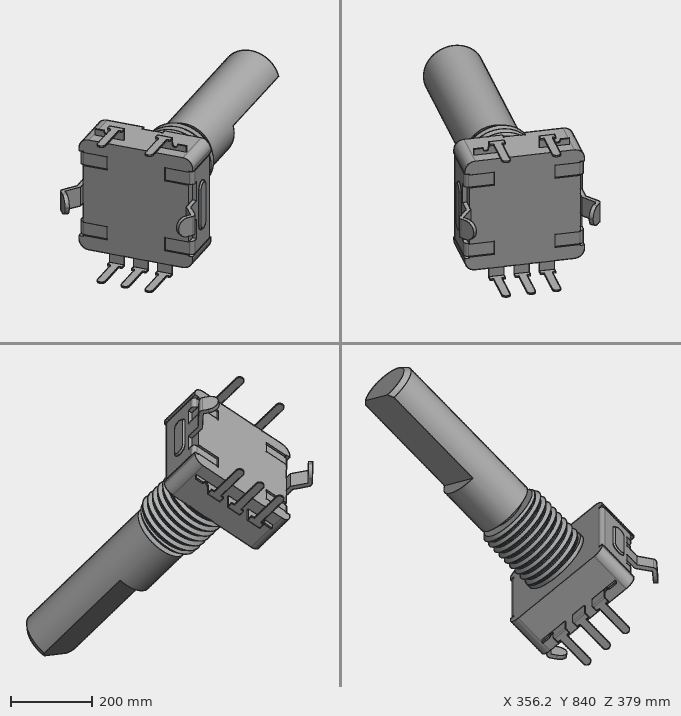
import cadquery as cq
import math


housing_side = 302.0
housing_depth = 118.0
corner_radius = 26.0
half_side = housing_side / 2
cover_thickness = 11.0
cover_half_width = 114.0
cover_gap = 2.5
cover_bend_radius = 10.0
cover_back_y = -91.5
tab_inner_z = 78.0
tab_reach = 75.0
tab_recess = 5.0
top_notch_width = 55.0
top_notch_size = 11.0

bead_y = -60.0
bead_length = 134.0
bead_width = 39.5
bead_height = 5.0
bead_bevel = 4.0

leg_half_width = 26.0
leg_elbow_x = 181.0
leg_bend_y = -129.0
leg_drop = 39.0
leg_elbow_radius = 11.0
leg_tip_radius = 25.0

pin_pitch = 64.0
pin_thickness = 4.0
pin_bend_radius = 3.0
pin_width = 21.0
pin_end_y = -194.0
pin_tip_radius = 10.0
shoulder_width = 39.0
shoulder_end_y = -99.0
leaf_y = -82.0
leaf_half_span = 121.0
leaf_notch_x = 91.0
leaf_notch_depth = 8.0
leaf_notch_width = 13.5
leaf_notch_radius = 6.0
upper_pin_z = 183.0
upper_leaf_z = 167.0
lower_pin_z = 196.0
lower_leaf_z = 165.0

thread_radius = 90.0
root_radius = 81.0
thread_pitch = 19.0
ridge_width = 18.5
crest_width = 1.0
ridge_burial = 2.0
buried_radius = root_radius - ridge_burial
thread_start = 2.0
thread_turn = -125
collar_length = 11.0
bushing_length = 177.0
bushing_end_radius = 79.0
envelope_radius = 97.0

shaft_radius = 76.5
shaft_start = 191.5
shaft_end = 633.0
shaft_chamfer = 13.0
neck_radius = 44.5
flat_length = 304.0
flat_distance = shaft_radius / 2
flat_turn = 45


def block(x_range, y_range, z_range):
    """Axis-aligned box between the given limits."""
    size = [high - low for low, high in (x_range, y_range, z_range)]
    corner = (x_range[0], y_range[0], z_range[0])
    return cq.Workplane("XY").box(*size, centered=False).translate(corner)


def cylinder(radius, start, end):
    """Round bar on the Y axis."""
    bar = cq.Solid.makeCylinder(radius, end - start, cq.Vector(0, start, 0), cq.Vector(0, 1, 0))
    return cq.Workplane(obj=bar)


def housing():
    """Rounded square block with slots for the cover sides, tabs and front plate."""
    body = block((-half_side, half_side), (-housing_depth, 0), (-half_side, half_side))
    body = body.edges("|Y").fillet(corner_radius)
    slot_half = cover_half_width + cover_gap
    slot = block((half_side - cover_thickness, half_side), (-housing_depth, 0), (-slot_half, slot_half))
    tab_pocket = block(
        (half_side - tab_reach, half_side),
        (-housing_depth, -housing_depth + tab_recess),
        (tab_inner_z, cover_half_width),
    )
    cuts = slot.union(tab_pocket).union(tab_pocket.mirror("XY"))
    notch = block(
        (-top_notch_width / 2, top_notch_width / 2),
        (-top_notch_size, 0),
        (half_side - top_notch_size, half_side),
    )
    return body.cut(cuts).cut(cuts.mirror("YZ")).cut(notch)


def cover_side():
    """Cover wall on the +X side with its two bent tabs and the embossed bead."""
    x_range = (half_side - cover_thickness, half_side)
    wall = block(x_range, (cover_back_y, 0), (-cover_half_width, cover_half_width))
    wall = wall.edges(">X and >Y").fillet(cover_bend_radius)
    tab = block(x_range, (-housing_depth + tab_recess, cover_back_y), (tab_inner_z, cover_half_width))
    tab = tab.edges(">X and <Y").fillet(cover_bend_radius)
    bead = (
        cq.Workplane("YZ", origin=(half_side, 0, 0))
        .center(bead_y, 0)
        .slot2D(bead_length, bead_width, 90)
        .extrude(bead_height)
        .faces(">X")
        .chamfer(bead_bevel)
    )
    return wall.union(tab).union(tab.mirror("XY")).union(bead)


def mounting_leg():
    """Strip that leaves the +X cover side, kinks outward, folds back in and ends round."""
    lean = math.atan2(leg_elbow_x - half_side, leg_drop)
    elbow_y = leg_bend_y - leg_drop
    tip_y = elbow_y - leg_drop
    inner_x = half_side - cover_thickness
    outline = [
        (half_side, cover_back_y),
        (half_side, leg_bend_y),
        (leg_elbow_x, elbow_y),
        (half_side, tip_y),
        (half_side - cover_thickness * math.cos(lean), tip_y + cover_thickness * math.sin(lean)),
        (leg_elbow_x - cover_thickness / math.cos(lean), elbow_y),
        (inner_x, leg_bend_y - cover_thickness * math.tan(lean / 2)),
        (inner_x, cover_back_y),
    ]
    leg = cq.Workplane("XY").polyline(outline).close().extrude(leg_half_width, both=True)
    leg = leg.edges(">X").fillet(leg_elbow_radius)
    tip_box_min = (half_side - 2 * cover_thickness, tip_y - cover_thickness, -2 * leg_half_width)
    tip_box_max = (half_side + cover_thickness, tip_y + cover_thickness, 2 * leg_half_width)
    tip_edges = cq.selectors.BoxSelector(tip_box_min, tip_box_max)
    across_thickness = cq.selectors.ParallelDirSelector(cq.Vector(-math.cos(lean), math.sin(lean), 0))
    return leg.edges(tip_edges & across_thickness).fillet(leg_tip_radius)


def terminal(x, outer_z):
    """L-shaped pin: a plate out of the +Z face, bent toward -Y and narrowed to a prong."""
    half_shoulder = shoulder_width / 2
    z_range = (outer_z - pin_thickness, outer_z)
    plate = block(
        (x - half_shoulder, x + half_shoulder),
        (leaf_y - pin_thickness, leaf_y),
        (half_side - cover_thickness, outer_z),
    )
    shoulder = block((x - half_shoulder, x + half_shoulder), (shoulder_end_y, leaf_y), z_range)
    prong = block((x - pin_width / 2, x + pin_width / 2), (pin_end_y, shoulder_end_y), z_range)
    prong = prong.edges("|Z and <Y").fillet(pin_tip_radius)
    bend = plate.union(shoulder).edges(">Y and >Z").fillet(pin_bend_radius)
    return bend.union(prong)


def outer_leaf(outer_z):
    """Low wing beside the pin at +X, separated from it by a rounded notch."""
    leaf = block(
        (pin_pitch, leaf_half_span),
        (leaf_y - pin_thickness, leaf_y),
        (half_side - cover_thickness, outer_z),
    )
    notch = block(
        (leaf_notch_x - leaf_notch_width / 2, leaf_notch_x + leaf_notch_width / 2),
        (leaf_y - pin_thickness, leaf_y),
        (outer_z - leaf_notch_depth, outer_z),
    )
    notch = notch.edges("|Y and <Z").fillet(leaf_notch_radius)
    return leaf.cut(notch)


def outer_terminals(pin_z, leaf_z):
    """Mirrored pair of winged terminals on the +Z face."""
    one = outer_leaf(leaf_z).union(terminal(pin_pitch, pin_z))
    return one.union(one.mirror("YZ"))


def thread_ridge():
    """Right-handed helical ridge whose flat base is buried in the root cylinder."""
    profile = [
        (buried_radius, -ridge_width / 2),
        (thread_radius, -crest_width / 2),
        (thread_radius, crest_width / 2),
        (buried_radius, ridge_width / 2),
    ]
    axis = cq.Vector(0, 1, 0)
    helix_height = bushing_length + thread_pitch / 2 - thread_start
    helices = [
        cq.Wire.makeHelix(thread_pitch, helix_height, radius, cq.Vector(0, thread_start + rise, 0), axis)
        for radius, rise in profile
    ]
    faces = []
    for index, helix in enumerate(helices):
        faces += cq.Face.makeRuledSurface(helices[index - 1], helix).Faces()
    first_end = cq.Wire.makePolygon([helix.startPoint() for helix in helices], close=True)
    last_end = cq.Wire.makePolygon([helix.endPoint() for helix in helices], close=True)
    faces += [cq.Face.makeFromWires(first_end), cq.Face.makeFromWires(last_end)]
    return cq.Workplane(obj=cq.Solid.makeSolid(cq.Shell.makeShell(faces)))


def bushing():
    """Collar and threaded root, trimmed to a chamfered end and turned to set where the thread starts."""
    threaded = cylinder(root_radius, 0, bushing_length).union(thread_ridge())
    envelope = cylinder(envelope_radius, 0, bushing_length)
    envelope = envelope.faces(">Y").chamfer(envelope_radius - bushing_end_radius)
    trimmed = threaded.intersect(envelope).rotate((0, 0, 0), (0, 1, 0), thread_turn)
    return trimmed.union(cylinder(thread_radius, 0, collar_length))


def shaft():
    """Necked round shaft with a chamfered end and a D-flat facing between +X and -Z."""
    bar = cylinder(shaft_radius, shaft_start, shaft_end).faces(">Y").chamfer(shaft_chamfer)
    waste = block(
        (flat_distance, 2 * shaft_radius),
        (shaft_end - flat_length, shaft_end),
        (-shaft_radius, shaft_radius),
    ).rotate((0, 0, 0), (0, 1, 0), flat_turn)
    neck = cylinder(neck_radius, bushing_length, shaft_start)
    return bar.cut(waste).union(neck)


side_metal = cover_side().union(mounting_leg())
upper_terminals = outer_terminals(upper_pin_z, upper_leaf_z)
lower_terminals = outer_terminals(lower_pin_z, lower_leaf_z).union(terminal(0, lower_pin_z)).mirror("XY")

result = (
    housing()
    .union(side_metal)
    .union(side_metal.mirror("YZ"))
    .union(upper_terminals)
    .union(lower_terminals)
    .union(bushing())
    .union(shaft())
)